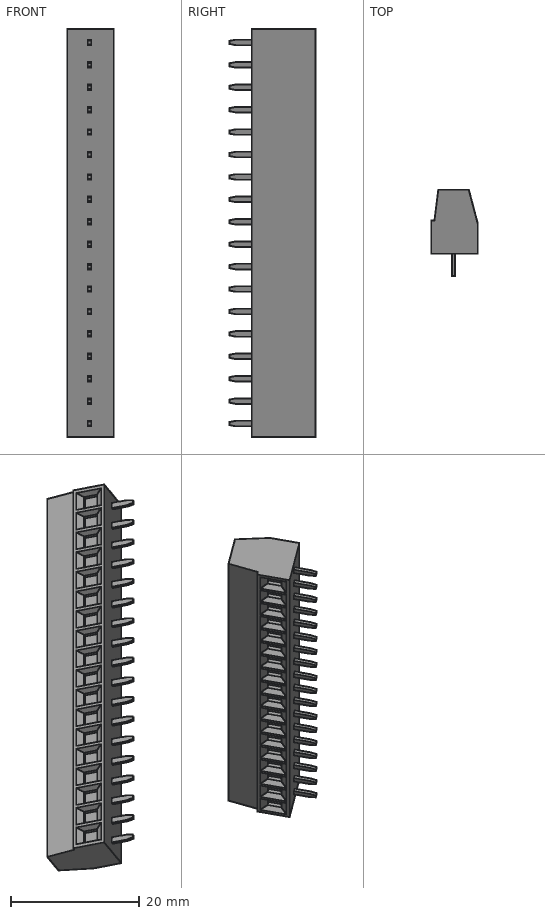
import cadquery as cq

pole_count = 18
pitch = 3.5
body_length = 63.7
body_width = 7.3
body_depth = 10.0

crown_left = 1.1
crown_right = 5.9
shoulder_width = 0.5
shoulder_y = 5.2
flank_y = 4.7

entry_offset = 0.5
entry_span = 4.2
entry_height = 3.0
entry_depth = 0.8
socket_depth = 0.6
entry_side_inset = 1.0
entry_end_inset = 0.5

pin_x = 3.5
pin_thickness = 0.5
pin_width = 0.9
pin_length = 3.5
pin_tip_length = 1.0
pin_tip_width = 0.5

first_pole_z = (body_length - (pole_count - 1) * pitch) / 2
pole_heights = [first_pole_z + index * pitch for index in range(pole_count)]


def make_housing():
    """Constant cross-section extruded along the strip."""
    outline = [
        (0, 0),
        (body_width, 0),
        (body_width, flank_y),
        (crown_right, body_depth),
        (crown_left, body_depth),
        (shoulder_width, shoulder_y),
        (0, shoulder_y),
    ]
    return cq.Workplane("XY").polyline(outline).close().extrude(body_length)


def make_entry(z):
    """Rectangular funnel on the -X face that narrows into a shallow straight-walled socket."""
    center_y = entry_offset + entry_span / 2
    socket_span = entry_span - 2 * entry_side_inset
    socket_height = entry_height - 2 * entry_end_inset
    funnel = (
        cq.Workplane("YZ", origin=(0, center_y, z))
        .rect(entry_span, entry_height)
        .workplane(offset=entry_depth)
        .rect(socket_span, socket_height)
        .loft(ruled=True)
    )
    socket = (
        cq.Workplane("YZ", origin=(entry_depth, center_y, z))
        .rect(socket_span, socket_height)
        .extrude(socket_depth)
    )
    return funnel.union(socket)


def make_pin(z):
    """Flat pin of even thickness pointing to -Y, with a tip tapered in Z."""
    shank_end = pin_tip_length - pin_length
    outline = [
        (0, z - pin_width / 2),
        (shank_end, z - pin_width / 2),
        (-pin_length, z - pin_tip_width / 2),
        (-pin_length, z + pin_tip_width / 2),
        (shank_end, z + pin_width / 2),
        (0, z + pin_width / 2),
    ]
    return (
        cq.Workplane("YZ", origin=(pin_x - pin_thickness / 2, 0, 0))
        .polyline(outline)
        .close()
        .extrude(pin_thickness)
    )


result = make_housing()
for pole_z in pole_heights:
    result = result.cut(make_entry(pole_z))
    result = result.union(make_pin(pole_z))